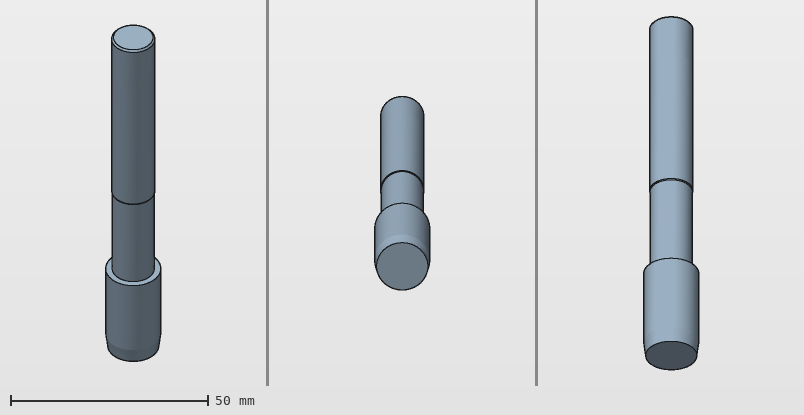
import cadquery as cq

lead_height = 4.0
head_height = 25.0
neck_top = 50.0
drive_bottom = 88.0
total_height = 100.0

head_radius = 14.0 / 2
tip_radius = 13.0 / 2
neck_radius = 10.7 / 2
shank_radius = 11.0 / 2

shank_top_chamfer = 0.5
step_height = 0.3


def make_head():
    """Cylindrical head with a tapered lead at its lower end."""
    profile = [
        (0, 0),
        (tip_radius, 0),
        (head_radius, lead_height),
        (head_radius, head_height),
        (0, head_height),
    ]
    return cq.Workplane("XZ").polyline(profile).close().revolve(360, (0, 0), (0, 1))


def make_shank():
    """Reduced neck standing on the head, then the shank with its chamfered drive end."""
    profile = [
        (0, head_height),
        (neck_radius, head_height),
        (neck_radius, neck_top),
        (shank_radius, neck_top + step_height),
        (shank_radius, drive_bottom),
        (shank_radius, total_height - shank_top_chamfer),
        (shank_radius - shank_top_chamfer, total_height),
        (0, total_height),
    ]
    return cq.Workplane("XZ").polyline(profile).close().revolve(360, (0, 0), (0, 1), clean=False)


head = make_head()
shank = make_shank()

result = cq.Compound.makeCompound([head.val(), shank.val()])